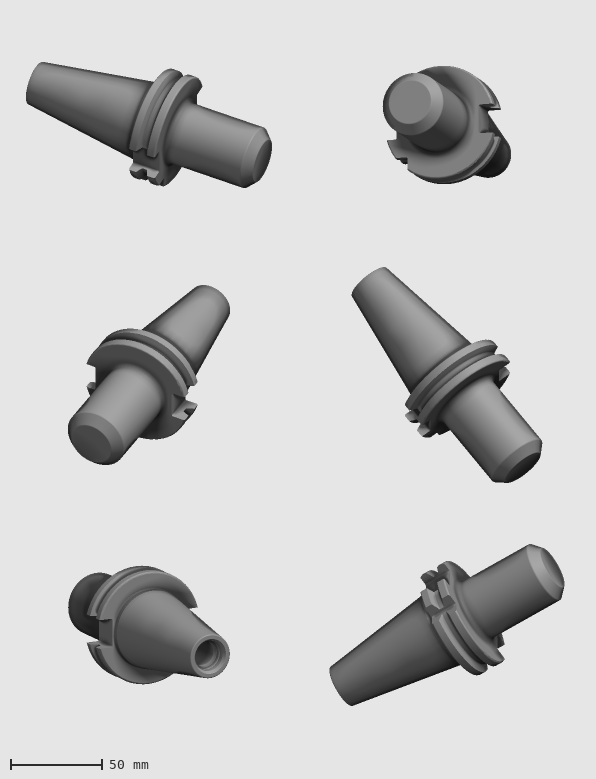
import cadquery as cq
import math

LENGTH = 138.2

GAUGE_X = 68.3
GAUGE_RADIUS = 22.3
TAPER_SLOPE = 7 / 48
TAPER_END_X = 67.5
TAPER_EDGE = 0.7

NECK_RADIUS = 21.8
NECK_START_X = 68.7
NECK_FILLET = 1.0

FLANGE_START_X = 71.5
FLANGE_END_X = 87.4
FLANGE_DIAMETER = 63.5
FLANGE_RADIUS = FLANGE_DIAMETER / 2
FLANGE_EDGE = 1.0
GROOVE_X = 79.4
GROOVE_WIDTH = 6.8
GROOVE_DEPTH = 4.0
GROOVE_FLANK_ANGLE = 25
GROOVE_FILLET = 0.5

NOSE_RADIUS = 17.5
NOSE_TIP_RADIUS = 12.3
NOSE_CHAMFER_LENGTH = 5.3
NOSE_EDGE_RADIUS = 1.0
NOSE_ROOT_FILLET = 2.8

SLOT_WIDTH = 16.2
SLOT_FLOOR_FRONT = 24.7
SLOT_FLOOR_BACK = 22.7
CUT_FILLET = 1.0
NOTCH_WALL = 18.5

BORE_MOUTH_RADIUS = 9.8
BORE_LIP_CHAMFER = 0.3
BORE_CONE_DEPTH = 1.8
BORE_PILOT_RADIUS = 8.6
BORE_PILOT_DEPTH = 4.8
BORE_STEP_RADIUS = 8.2
BORE_STEP_DEPTH = 7.6
THREAD_LEAD_RADIUS = 7.9
THREAD_RADIUS = 6.9
THREAD_START_DEPTH = 9.5
THREAD_DEPTH = 30.4
DRILL_TIP_ANGLE = 118

CUTTER_OVERSHOOT = 1.4
OUTSIDE = FLANGE_RADIUS + CUTTER_OVERSHOOT
EDGE_SEARCH_MARGIN = 0.01


def taper_radius(x):
    return GAUGE_RADIUS - (GAUGE_X - x) * TAPER_SLOPE


def revolve_about_x(outline):
    return outline.close().revolve(360, (0, 0, 0), (1, 0, 0))


def fillet_ring(body, x, radius, fillet_radius):
    """Round the circular edge of the given radius lying at the given X."""
    ring = cq.selectors.BoxSelector(
        (x - EDGE_SEARCH_MARGIN, -radius - EDGE_SEARCH_MARGIN, -radius - EDGE_SEARCH_MARGIN),
        (x + EDGE_SEARCH_MARGIN, radius + EDGE_SEARCH_MARGIN, radius + EDGE_SEARCH_MARGIN),
        boundingbox=True,
    )
    circle = cq.selectors.RadiusNthSelector(-1)
    return body.edges(ring).edges(circle).fillet(fillet_radius)


def turned_body():
    groove_half_mouth = GROOVE_WIDTH / 2
    groove_half_floor = groove_half_mouth - GROOVE_DEPTH * math.tan(math.radians(GROOVE_FLANK_ANGLE))
    groove_radius = FLANGE_RADIUS - GROOVE_DEPTH
    outline = (
        cq.Workplane("XY")
        .lineTo(0, taper_radius(0))
        .lineTo(TAPER_END_X, taper_radius(TAPER_END_X))
        .lineTo(NECK_START_X, NECK_RADIUS)
        .lineTo(FLANGE_START_X, NECK_RADIUS)
        .lineTo(FLANGE_START_X, FLANGE_RADIUS)
        .lineTo(GROOVE_X - groove_half_mouth, FLANGE_RADIUS)
        .lineTo(GROOVE_X - groove_half_floor, groove_radius)
        .lineTo(GROOVE_X + groove_half_floor, groove_radius)
        .lineTo(GROOVE_X + groove_half_mouth, FLANGE_RADIUS)
        .lineTo(FLANGE_END_X, FLANGE_RADIUS)
        .lineTo(FLANGE_END_X, NOSE_RADIUS)
        .lineTo(LENGTH - NOSE_CHAMFER_LENGTH, NOSE_RADIUS)
        .lineTo(LENGTH, NOSE_TIP_RADIUS)
        .lineTo(LENGTH, 0)
    )
    rounded_rings = [
        (0, taper_radius(0), TAPER_EDGE),
        (FLANGE_START_X, NECK_RADIUS, NECK_FILLET),
        (FLANGE_START_X, FLANGE_RADIUS, FLANGE_EDGE),
        (GROOVE_X - groove_half_floor, groove_radius, GROOVE_FILLET),
        (GROOVE_X + groove_half_floor, groove_radius, GROOVE_FILLET),
        (FLANGE_END_X, FLANGE_RADIUS, FLANGE_EDGE),
        (FLANGE_END_X, NOSE_RADIUS, NOSE_ROOT_FILLET),
        (LENGTH - NOSE_CHAMFER_LENGTH, NOSE_RADIUS, NOSE_EDGE_RADIUS),
        (LENGTH, NOSE_TIP_RADIUS, NOSE_EDGE_RADIUS),
    ]
    body = revolve_about_x(outline)
    for x, radius, fillet_radius in rounded_rings:
        body = fillet_ring(body, x, radius, fillet_radius)
    return body


def flange_cutter(y_inner, y_outer, z_low, z_high, inner_edges):
    """Box spanning the flange width along X, with its inner corner edges rounded."""
    flange_width = FLANGE_END_X - FLANGE_START_X
    center = (FLANGE_START_X + flange_width / 2, (y_inner + y_outer) / 2, (z_low + z_high) / 2)
    return (
        cq.Workplane("XY")
        .box(flange_width, abs(y_outer - y_inner), z_high - z_low)
        .translate(center)
        .edges(inner_edges)
        .fillet(CUT_FILLET)
    )


def threaded_bore():
    tip_length = THREAD_RADIUS / math.tan(math.radians(DRILL_TIP_ANGLE / 2))
    outline = (
        cq.Workplane("XY")
        .lineTo(0, BORE_MOUTH_RADIUS)
        .lineTo(BORE_LIP_CHAMFER, BORE_MOUTH_RADIUS - BORE_LIP_CHAMFER)
        .lineTo(BORE_CONE_DEPTH, BORE_PILOT_RADIUS)
        .lineTo(BORE_PILOT_DEPTH, BORE_PILOT_RADIUS)
        .lineTo(BORE_PILOT_DEPTH + BORE_PILOT_RADIUS - BORE_STEP_RADIUS, BORE_STEP_RADIUS)
        .lineTo(BORE_STEP_DEPTH, BORE_STEP_RADIUS)
        .lineTo(BORE_STEP_DEPTH + BORE_STEP_RADIUS - THREAD_LEAD_RADIUS, THREAD_LEAD_RADIUS)
        .lineTo(THREAD_START_DEPTH, THREAD_RADIUS)
        .lineTo(THREAD_DEPTH, THREAD_RADIUS)
        .lineTo(THREAD_DEPTH + tip_length, 0)
    )
    return revolve_about_x(outline)


half_slot = SLOT_WIDTH / 2
front_slot = flange_cutter(-SLOT_FLOOR_FRONT, -OUTSIDE, -half_slot, half_slot, "|X and >Y")
back_slot = flange_cutter(SLOT_FLOOR_BACK, OUTSIDE, -half_slot, half_slot, "|X and <Y")
notch = flange_cutter(-NOTCH_WALL, -OUTSIDE, -OUTSIDE, -NOTCH_WALL, "|X and >Y and >Z")

result = turned_body().cut(front_slot).cut(back_slot).cut(notch).cut(threaded_bore())